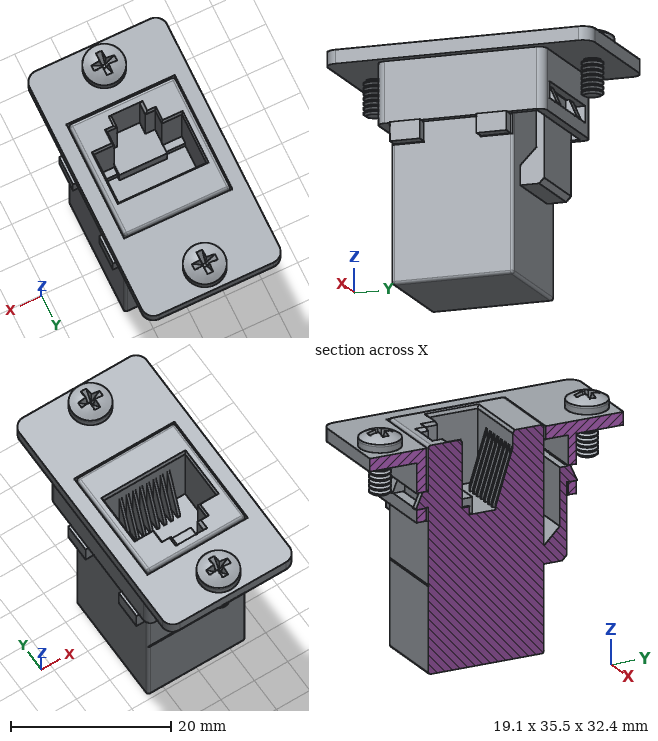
import cadquery as cq

PLATE_X = 19.05
PLATE_Y = 35.55
PLATE_T = 1.8
PLATE_CORNER_R = 1.6
HOUSING_X = 16.75
HOUSING_Y = 22.4
HOUSING_CORNER_R = 1.05
HOUSING_H = 8.0
HOUSING_BOTTOM = -(PLATE_T + HOUSING_H)

JACK_X = 14.7
JACK_FRONT = -9.55
JACK_BACK = 6.7
JACK_TOP = 0.3
JACK_BOTTOM = -30.45
JACK_EDGE_R = 0.4

OPENING_X = 15.0
OPENING_FRONT = -9.78
OPENING_BACK = 6.85
ARM_CLEARANCE = 0.15

WINDOW_X = 12.7
WINDOW_H = 2.17
WINDOW_TOP = -5.85
WINDOW_BOTTOM = WINDOW_TOP - WINDOW_H

CATCH_W = 1.42
CATCH_X = 3.55
CATCH_TOP_Y = 10.4
CATCH_TIP_Y = HOUSING_Y / 2 + 0.15

ARM_X = 9.67
ARM_OUTER = 9.9
ARM_INNER = 8.85
ARM_BOTTOM = -18.5
ARM_CORNER = 0.68
GUSSET_TOP = -13.75
ARM_OVERLAP = 0.18

LUG_SPAN = 17.55
LUG_L = 4.0
LUG_H = 2.5
LUG_FRONT_MID = -7.22
LUG_BACK_MID = 4.3

RELIEF_DEPTH = 0.1
RELIEF_BELOW_LUG = 0.1

GROOVE_MID = -18.53
GROOVE_W = 0.15
GROOVE_DEPTH = 0.07

SOCKET_HALF_WIDTHS = (6.08, 3.3, 1.95)
SOCKET_LEVELS = (2.28, -4.75, -6.72, -8.35)
MOUTH_HALF_WIDTHS = (6.3, 3.52, 2.35)
MOUTH_LEVELS = (2.52, -5.0, -6.97, -8.35)
MOUTH_H = 0.45
SOCKET_FLOOR = -9.95
LEDGE_FLOOR = -8.9
LEDGE_BACK = -3.77
STEP_FLOOR = -7.82
STEP_BACK = -3.25

CONTACT_COUNT = 8
CONTACT_PITCH = 1.02
CONTACT_W = 0.4
CONTACT_TOP = -2.0
CONTACT_TIP_Y = -0.1
CONTACT_TIP_H = 0.55

SCREW_Y = 14.5
HEAD_R = 2.77
HEAD_RIM_H = 0.85
DOME_R = 2.75
DOME_START = 1.1
HEAD_H = 2.0
SHANK_R = 1.05
CREST_R = 1.42
CREST_W = 0.1
THREAD_PITCH = 0.65
THREAD_COUNT = 7
SCREW_TIP = -6.4
RECESS_L = 3.77
RECESS_W = 0.85
RECESS_BOTTOM_W = 0.43
RECESS_DEPTH = 1.65


def block(x_size, front, back, bottom, top):
    """A box centred on X = 0."""
    return (
        cq.Workplane("XY", origin=(0, (front + back) / 2, bottom))
        .rect(x_size, back - front)
        .extrude(top - bottom)
    )


def side_profile(points, x_mid, width):
    """A (Y, Z) outline extruded along X, centred on x_mid."""
    return cq.Workplane("YZ", origin=(x_mid - width / 2, 0, 0)).polyline(points).close().extrude(width)


def make_housing():
    plate = block(PLATE_X, -PLATE_Y / 2, PLATE_Y / 2, -PLATE_T, 0).edges("|Z").fillet(PLATE_CORNER_R)
    box = (
        block(HOUSING_X, -HOUSING_Y / 2, HOUSING_Y / 2, HOUSING_BOTTOM, -PLATE_T)
        .edges("|Z")
        .fillet(HOUSING_CORNER_R)
    )
    opening = block(OPENING_X, OPENING_FRONT, OPENING_BACK, HOUSING_BOTTOM, 0)
    arm_space = block(OPENING_X, OPENING_FRONT, ARM_OUTER + ARM_CLEARANCE, HOUSING_BOTTOM, -PLATE_T)
    windows = block(WINDOW_X, -HOUSING_Y / 2, HOUSING_Y / 2, WINDOW_BOTTOM, WINDOW_TOP)
    screw_holes = (
        cq.Workplane("XY").pushPoints([(0, -SCREW_Y), (0, SCREW_Y)]).circle(SHANK_R).extrude(-PLATE_T)
    )
    return plate.union(box).cut(opening).cut(arm_space).cut(windows).cut(screw_holes)


def socket_outline(half_widths, levels):
    """The right half of the stepped socket outline, then its mirror image."""
    wide, middle, narrow = half_widths
    back, first_step, second_step, front = levels
    right = [
        (wide, back),
        (wide, first_step),
        (middle, first_step),
        (middle, second_step),
        (narrow, second_step),
        (narrow, front),
    ]
    left = [(-x, y) for x, y in reversed(right)]
    return right + left


def make_socket():
    """The hollow of the socket, with its floor steps and contacts left standing."""
    wall = socket_outline(SOCKET_HALF_WIDTHS, SOCKET_LEVELS)
    rim = socket_outline(MOUTH_HALF_WIDTHS, MOUTH_LEVELS)
    mouth_bottom = JACK_TOP - MOUTH_H
    socket = cq.Workplane("XY").workplane(offset=SOCKET_FLOOR).polyline(wall).close()
    socket = socket.extrude(mouth_bottom - SOCKET_FLOOR)
    mouth = (
        cq.Workplane("XY", origin=(0, 0, mouth_bottom))
        .polyline(wall)
        .close()
        .workplane(offset=MOUTH_H)
        .polyline(rim)
        .close()
        .loft(ruled=True)
    )
    ledge = block(2 * SOCKET_HALF_WIDTHS[0], SOCKET_LEVELS[1], LEDGE_BACK, SOCKET_FLOOR, LEDGE_FLOOR)
    step = block(2 * SOCKET_HALF_WIDTHS[1], SOCKET_LEVELS[3], STEP_BACK, SOCKET_FLOOR, STEP_FLOOR)
    socket = socket.union(mouth).cut(ledge).cut(step)

    back_wall = SOCKET_LEVELS[0]
    contact_points = [
        (back_wall, CONTACT_TOP),
        (CONTACT_TIP_Y, SOCKET_FLOOR + CONTACT_TIP_H),
        (CONTACT_TIP_Y, SOCKET_FLOOR),
        (back_wall, SOCKET_FLOOR),
    ]
    for index in range(CONTACT_COUNT):
        contact_x = (index - (CONTACT_COUNT - 1) / 2) * CONTACT_PITCH
        socket = socket.cut(side_profile(contact_points, contact_x, CONTACT_W))
    return socket


def make_latch_arm():
    """Arm with a 45 degree gusset; its foot runs into the back of the jack."""
    root = JACK_BACK - ARM_OVERLAP
    points = [
        (ARM_OUTER, WINDOW_TOP),
        (ARM_OUTER, ARM_BOTTOM + ARM_CORNER),
        (ARM_OUTER - ARM_CORNER, ARM_BOTTOM),
        (root, ARM_BOTTOM),
        (root, GUSSET_TOP - (ARM_INNER - root)),
        (ARM_INNER, GUSSET_TOP),
        (ARM_INNER, WINDOW_TOP),
    ]
    return side_profile(points, 0, ARM_X)


def make_catches(root, side):
    """A pair of wedge catches on the front (side = -1) or back (side = 1)."""
    points = [
        (root, WINDOW_TOP),
        (side * CATCH_TOP_Y, WINDOW_TOP),
        (side * CATCH_TIP_Y, WINDOW_BOTTOM),
        (root, WINDOW_BOTTOM),
    ]
    return side_profile(points, -CATCH_X, CATCH_W).union(side_profile(points, CATCH_X, CATCH_W))


def add_lug_pair(jack, lug_mid, jack_end):
    """A lug on each side of the jack, standing in a shallow relief that reaches jack_end."""
    lug_bottom = HOUSING_BOTTOM - LUG_H
    lug_front = lug_mid - LUG_L / 2
    lug_back = lug_mid + LUG_L / 2
    relief_front = min(lug_front, jack_end)
    relief_back = max(lug_back, jack_end)
    relief_bottom = lug_bottom - RELIEF_BELOW_LUG
    core_x = JACK_X - 2 * RELIEF_DEPTH
    relief = block(JACK_X, relief_front, relief_back, relief_bottom, HOUSING_BOTTOM)
    relief = relief.cut(block(core_x, relief_front, relief_back, relief_bottom, HOUSING_BOTTOM))
    return jack.cut(relief).union(block(LUG_SPAN, lug_front, lug_back, lug_bottom, HOUSING_BOTTOM))


def make_jack():
    jack = block(JACK_X, JACK_FRONT, JACK_BACK, JACK_BOTTOM, JACK_TOP).edges().fillet(JACK_EDGE_R)
    jack = add_lug_pair(jack, LUG_FRONT_MID, JACK_FRONT)
    jack = add_lug_pair(jack, LUG_BACK_MID, JACK_BACK)
    jack = jack.union(make_latch_arm())
    jack = jack.union(make_catches(JACK_FRONT, -1)).union(make_catches(ARM_INNER, 1))
    groove = block(
        JACK_X,
        JACK_FRONT,
        JACK_FRONT + GROOVE_DEPTH,
        GROOVE_MID - GROOVE_W / 2,
        GROOVE_MID + GROOVE_W / 2,
    )
    return jack.cut(groove).cut(make_socket())


def make_recess():
    """Cross recess: two tapering slots at right angles."""
    recess = None
    for angle in (0, 90):
        slot = (
            cq.Workplane("XY", origin=(0, 0, HEAD_H))
            .rect(RECESS_L, RECESS_W)
            .workplane(offset=-RECESS_DEPTH)
            .rect(RECESS_BOTTOM_W, RECESS_BOTTOM_W)
            .loft(ruled=True)
            .rotate((0, 0, 0), (0, 0, 1), angle)
        )
        recess = slot if recess is None else recess.union(slot)
    return recess


def make_screw(screw_y):
    """Pan-head screw whose thread is drawn as a stack of V rings."""
    dome_rise = HEAD_H - DOME_START
    sphere_r = (DOME_R**2 + dome_rise**2) / (2 * dome_rise)
    half_r = DOME_R / 2
    dome_mid = (half_r, HEAD_H - sphere_r + (sphere_r**2 - half_r**2) ** 0.5)
    thread_top = SCREW_TIP + THREAD_COUNT * THREAD_PITCH

    outline = cq.Workplane("YZ").moveTo(0, HEAD_H).threePointArc(dome_mid, (DOME_R, DOME_START))
    outline = outline.lineTo(HEAD_R, HEAD_RIM_H).lineTo(HEAD_R, 0).lineTo(SHANK_R, 0)
    outline = outline.lineTo(SHANK_R, thread_top)
    for index in range(THREAD_COUNT):
        ring_top = thread_top - index * THREAD_PITCH
        crest = ring_top - THREAD_PITCH / 2
        outline = (
            outline.lineTo(CREST_R, crest + CREST_W / 2)
            .lineTo(CREST_R, crest - CREST_W / 2)
            .lineTo(SHANK_R, ring_top - THREAD_PITCH)
        )
    screw = outline.lineTo(0, SCREW_TIP).close().revolve(360, (0, 0, 0), (0, 1, 0))
    return screw.cut(make_recess()).translate((0, screw_y, 0))


housing = make_housing()
jack = make_jack()
screws = [make_screw(screw_y) for screw_y in (-SCREW_Y, SCREW_Y)]

result = cq.Compound.makeCompound([housing.val(), jack.val(), *[screw.val() for screw in screws]])